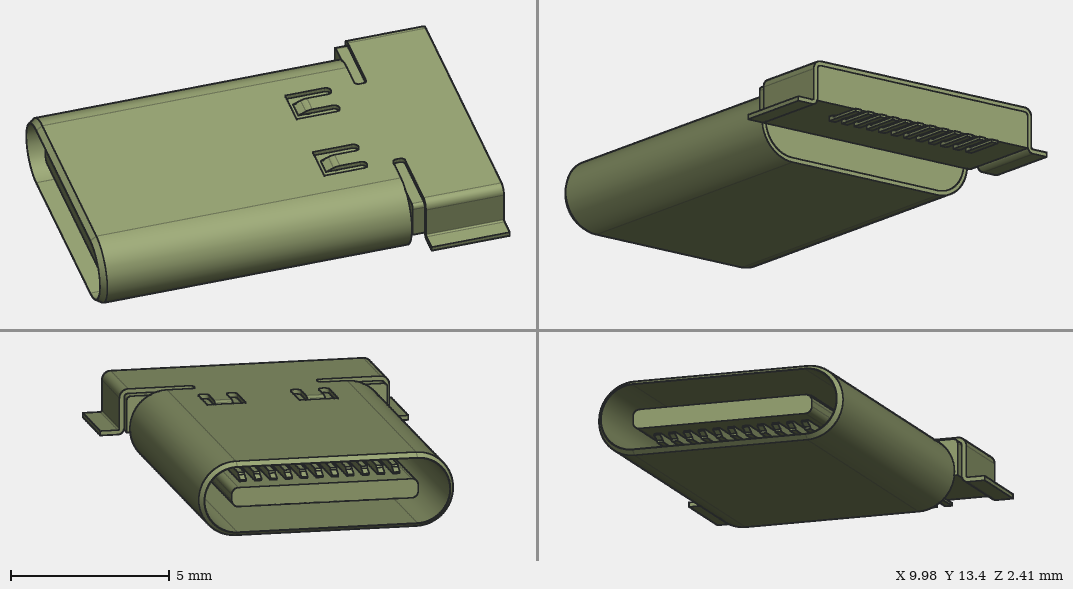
import cadquery as cq
import math


SHEET = 0.15
TUBE_WIDTH = 8.25
TUBE_HEIGHT = 2.41
TUBE_BACK = 10.28
TOP = TUBE_HEIGHT / 2
LEAD_LENGTH = 0.2
LEAD_DEPTH = 0.13

BRACKET_BACK = 13.25
BRACKET_FRONT = 10.67
BRACKET_HALF = 4.37
BRACKET_BEND = 0.28
NECK_HALF = 1.99
NOTCH_CORNER = 0.13
FOOT_SPAN = 9.98
FOOT_BOTTOM = -0.27
FOOT_TOP = FOOT_BOTTOM + SHEET
FOOT_BEND = 0.05

LATCH_OFFSET = 1.49
LATCH_WIDTH = 1.25
SPRING_WIDTH = 0.58
LATCH_FRONT = 7.99
LATCH_BACK = 9.45
SPRING_BEND_START = 8.61
SPRING_BEND_RADIUS = 0.54
SPRING_ANGLE = 23.0

PLUG_FRONT = 7.67
BLOCK_BOTTOM = FOOT_TOP
TONGUE_WIDTH = 6.04
TONGUE_HEIGHT = 0.62
TONGUE_FRONT = 0.34
TONGUE_CORNER = 0.22
PITCH = 0.5
CONTACT_COUNT = 11
CONTACT_WIDTH = 0.2
CONTACT_FRONT = 1.08
NOSE_GENTLE_LENGTH = 0.27
NOSE_STEEP_LENGTH = 0.03
CONTACT_HEIGHT = 0.24
CONTACT_TIP_HEIGHT = 0.07
CONTACT_KNEE_HEIGHT = 0.17
TAIL_COUNT = 12
TAIL_WIDTH = 0.23
TAIL_THICKNESS = 0.1
TAIL_END = 13.45
TAIL_ROOT = 12.1
TAIL_LEG = 0.2


def box(x_range, y_range, z_range):
    """Box between the given limits."""
    size = [high - low for low, high in (x_range, y_range, z_range)]
    return cq.Workplane("XY").box(*size, centered=False).translate((x_range[0], y_range[0], z_range[0]))


def stadium(width, height, front, back):
    """Bar with full-round sides, running along Y."""
    bar = cq.Workplane("XZ", origin=(0, front, 0)).slot2D(width, height)
    return bar.extrude(front - back)


def tube():
    """Open-ended tube with a bevelled mouth."""
    outer = stadium(TUBE_WIDTH, TUBE_HEIGHT, 0, TUBE_BACK)
    outer = outer.faces("<Y").chamfer(LEAD_LENGTH, LEAD_DEPTH)
    inner = stadium(TUBE_WIDTH - 2 * SHEET, TUBE_HEIGHT - 2 * SHEET, 0, TUBE_BACK)
    return outer.cut(inner)


def bracket_half():
    """Right half of the bracket: roof, bend, wall, bend and foot."""
    wall_in = BRACKET_HALF - SHEET
    outer_bend = FOOT_BEND + SHEET
    foot_end = FOOT_SPAN / 2
    bend_in = BRACKET_BEND - SHEET
    diagonal = math.sqrt(0.5)
    bend_x = BRACKET_HALF - BRACKET_BEND
    bend_z = TOP - BRACKET_BEND
    foot_x = BRACKET_HALF + FOOT_BEND
    foot_z = FOOT_TOP + FOOT_BEND

    def on_bend(radius):
        return (bend_x + radius * diagonal, bend_z + radius * diagonal)

    def on_foot_bend(radius):
        return (foot_x - radius * diagonal, foot_z - radius * diagonal)

    profile = (
        cq.Workplane("XZ", origin=(0, BRACKET_FRONT, 0))
        .moveTo(0, TOP)
        .lineTo(bend_x, TOP)
        .threePointArc(on_bend(BRACKET_BEND), (BRACKET_HALF, bend_z))
        .lineTo(BRACKET_HALF, foot_z)
        .threePointArc(on_foot_bend(FOOT_BEND), (foot_x, FOOT_TOP))
        .lineTo(foot_end, FOOT_TOP)
        .lineTo(foot_end, FOOT_BOTTOM)
        .lineTo(foot_x, FOOT_BOTTOM)
        .threePointArc(on_foot_bend(outer_bend), (wall_in, foot_z))
        .lineTo(wall_in, bend_z)
        .threePointArc(on_bend(bend_in), (bend_x, TOP - SHEET))
        .lineTo(0, TOP - SHEET)
        .close()
    )
    return profile.extrude(BRACKET_FRONT - BRACKET_BACK)


def neck():
    """Flat sheet joining tube and bracket, with rounded notch corners."""
    plate = box((-BRACKET_HALF, BRACKET_HALF), (TUBE_BACK, BRACKET_FRONT), (TOP - SHEET, TOP))
    for side in (-1, 1):
        ends = sorted((side * NECK_HALF, side * 2 * BRACKET_HALF))
        notch = box(ends, (TUBE_BACK, BRACKET_FRONT), (TOP - SHEET, TOP))
        notch = notch.edges("|Z").fillet(NOTCH_CORNER)
        plate = plate.cut(notch)
    return plate


def latch_window(x):
    """U-shaped opening round one spring."""
    sheet_z = (TOP - 2 * SHEET, TOP + SHEET)
    half = LATCH_WIDTH / 2
    window = box((x - half, x + half), (LATCH_FRONT, SPRING_BEND_START), sheet_z)
    slot_width = (LATCH_WIDTH - SPRING_WIDTH) / 2
    slot_offset = (LATCH_WIDTH - slot_width) / 2
    round_y = LATCH_BACK - slot_width / 2
    for slot_x in (x - slot_offset, x + slot_offset):
        edges = (slot_x - slot_width / 2, slot_x + slot_width / 2)
        slot = box(edges, (LATCH_FRONT, round_y), sheet_z)
        end = (
            cq.Workplane("XY", origin=(slot_x, round_y, sheet_z[0]))
            .circle(slot_width / 2)
            .extrude(sheet_z[1] - sheet_z[0])
        )
        window = window.union(slot).union(end)
    return window


def spring(x):
    """Free end of one spring, bent down until its upper face reaches the inside of the sheet."""
    centre_z = TOP - SPRING_BEND_RADIUS

    def on_bend(radius, degrees):
        angle = math.radians(degrees)
        return (SPRING_BEND_START - radius * math.sin(angle), centre_z + radius * math.cos(angle))

    inner_radius = SPRING_BEND_RADIUS - SHEET
    bend_end = on_bend(SPRING_BEND_RADIUS, SPRING_ANGLE)
    slope = math.radians(SPRING_ANGLE)
    tip_z = TOP - SHEET
    tip = (bend_end[0] - (bend_end[1] - tip_z) / math.tan(slope), tip_z)
    tip_under = (tip[0] + SHEET * math.sin(slope), tip[1] - SHEET * math.cos(slope))
    profile = (
        cq.Workplane("YZ", origin=(x - SPRING_WIDTH / 2, 0, 0))
        .moveTo(SPRING_BEND_START, TOP)
        .threePointArc(on_bend(SPRING_BEND_RADIUS, SPRING_ANGLE / 2), bend_end)
        .lineTo(*tip)
        .lineTo(*tip_under)
        .lineTo(*on_bend(inner_radius, SPRING_ANGLE))
        .threePointArc(on_bend(inner_radius, SPRING_ANGLE / 2), (SPRING_BEND_START, TOP - SHEET))
        .close()
    )
    return profile.extrude(SPRING_WIDTH)


def make_shell():
    """Tube, bracket and latches from one sheet."""
    right = bracket_half()
    shell = tube().union(neck()).union(right).union(right.mirror("YZ"))
    for x in (-LATCH_OFFSET, LATCH_OFFSET):
        shell = shell.cut(latch_window(x)).union(spring(x))
    return shell


def row(count):
    """X positions of evenly pitched contacts, centred on the middle plane."""
    return [(index - (count - 1) / 2) * PITCH for index in range(count)]


def contact(x):
    """Contact on the upper face of the tongue, with a two-slope nose."""
    face = TONGUE_HEIGHT / 2
    tip_z = face + CONTACT_TIP_HEIGHT
    knee_z = face + CONTACT_KNEE_HEIGHT
    top_z = face + CONTACT_HEIGHT
    knee_y = CONTACT_FRONT + NOSE_GENTLE_LENGTH
    profile = (
        cq.Workplane("YZ", origin=(x - CONTACT_WIDTH / 2, 0, 0))
        .moveTo(CONTACT_FRONT + CONTACT_TIP_HEIGHT, face)
        .lineTo(CONTACT_FRONT, tip_z)
        .lineTo(knee_y, knee_z)
        .lineTo(knee_y + NOSE_STEEP_LENGTH, top_z)
        .lineTo(PLUG_FRONT, top_z)
        .lineTo(PLUG_FRONT, face)
        .close()
    )
    return profile.extrude(CONTACT_WIDTH)


def make_core():
    """Insulator with tongue, contacts, tails and a recess under each spring."""
    block_half = BRACKET_HALF - SHEET
    core = box((-block_half, block_half), (TUBE_BACK, BRACKET_BACK), (BLOCK_BOTTOM, TOP - SHEET))
    core = core.edges("|Y and >Z").fillet(BRACKET_BEND - SHEET)
    plug = stadium(TUBE_WIDTH - 2 * SHEET, TUBE_HEIGHT - 2 * SHEET, PLUG_FRONT, TUBE_BACK)
    half = TONGUE_WIDTH / 2
    tongue = box((-half, half), (TONGUE_FRONT, PLUG_FRONT), (-TONGUE_HEIGHT / 2, TONGUE_HEIGHT / 2))
    tongue = tongue.edges("|Y").fillet(TONGUE_CORNER)
    core = core.union(plug).union(tongue)
    for x in row(CONTACT_COUNT):
        upper = contact(x)
        core = core.union(upper).union(upper.mirror("XY"))
    for x in row(TAIL_COUNT):
        edges = (x - TAIL_WIDTH / 2, x + TAIL_WIDTH / 2)
        strip = box(edges, (TAIL_ROOT, TAIL_END), (FOOT_BOTTOM, FOOT_BOTTOM + TAIL_THICKNESS))
        leg = box(edges, (TAIL_ROOT, TAIL_ROOT + TAIL_LEG), (FOOT_BOTTOM, BLOCK_BOTTOM))
        core = core.union(strip).union(leg)
    for x in (-LATCH_OFFSET, LATCH_OFFSET):
        core = core.cut(spring(x))
    return core


shell = make_shell()
core = make_core()
result = cq.Compound.makeCompound([shell.solids().val(), core.solids().val()])